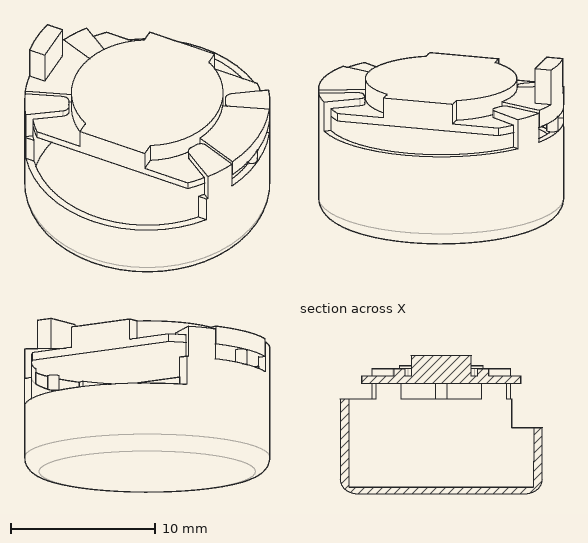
import cadquery as cq
import math

outer_radius = 8.5
wall = 0.5
inner_radius = outer_radius - wall
disc_radius = 5.25
clip_inner_radius = 5.42
pin_radius = 0.4

floor_top = wall
low_rim = 4.6
rim = 6.6
plate_bottom = 7.65
plate_top = 8.2
clip_top = 8.7
pad_top = 8.9
disc_top = 9.62
post_top = 11.4

bottom_fillet = 1.0
window_face_y = -4.9

plate_half_depth = 5.5
disc_bar_width = 5.0
pad_half_angle = 20.0
pad_root_radius = 3.4
clip_start_angle = 20.3
clip_end_angle = 34.4
clip_fillet = 0.5
pin_centre_radius = 8.04
post_inner_x = -7.2
post_width = 2.82


def cylinder(radius, bottom, top):
    return cq.Workplane("XY").workplane(offset=bottom).circle(radius).extrude(top - bottom)


def box(x_range, y_range, z_range):
    sizes = [high - low for low, high in (x_range, y_range, z_range)]
    corner = (x_range[0], y_range[0], z_range[0])
    return cq.Workplane("XY").box(*sizes, centered=False).translate(corner)


def polar(radius, angle):
    radians = math.radians(angle)
    return radius * math.cos(radians), radius * math.sin(radians)


def ring_sector(r_in, r_out, start, end, bottom, top):
    """Ring segment between two radii and two angles (degrees from +X)."""
    reach = 2 * r_out
    wedge = (
        cq.Workplane("XY").workplane(offset=bottom)
        .polyline([(0, 0), polar(reach, start), polar(reach, end)])
        .close()
        .extrude(top - bottom)
    )
    return cylinder(r_out, bottom, top).cut(cylinder(r_in, bottom, top)).intersect(wedge)


def on_both_sides(shape):
    """Add the mirror image on the -X side."""
    return shape.union(shape.mirror("YZ"))


def make_cup():
    body = cylinder(outer_radius, 0, rim).faces("<Z").edges().fillet(bottom_fillet)
    cavity = cylinder(inner_radius, floor_top, rim)
    window = box((-outer_radius, outer_radius), (-outer_radius, window_face_y), (low_rim, rim))
    return body.cut(cavity).cut(window)


def make_plate():
    flats = box(
        (-outer_radius, outer_radius),
        (-plate_half_depth, plate_half_depth),
        (plate_bottom, plate_top),
    )
    return cylinder(inner_radius, plate_bottom, plate_top).intersect(flats)


def make_disc():
    bar = box(
        (-disc_bar_width / 2, disc_bar_width / 2),
        (-plate_half_depth, plate_half_depth),
        (plate_top, disc_top),
    )
    return cylinder(disc_radius, plate_top, disc_top).union(bar)


def make_pads():
    """Wedges at both ends of X, rooted inside the disc and ending at the outer radius."""
    pad = ring_sector(
        pad_root_radius, outer_radius, -pad_half_angle, pad_half_angle, plate_bottom, pad_top
    )
    return on_both_sides(pad)


def make_clips():
    """Four hooks: a leg on the rim and a rounded tab resting on the plate."""
    tab = ring_sector(
        clip_inner_radius, outer_radius, clip_start_angle, clip_end_angle, plate_top, clip_top
    )
    tip_corners = cq.selectors.BoxSelector(
        (0, 0, plate_top), (*polar(inner_radius, clip_end_angle), clip_top)
    )
    tab = tab.edges("|Z").edges(tip_corners).fillet(clip_fillet)
    leg = ring_sector(
        inner_radius, outer_radius, clip_start_angle, clip_end_angle, rim, plate_top
    )
    clip = tab.union(leg)
    return on_both_sides(clip.union(clip.mirror("XZ")))


def make_pins():
    pin = cylinder(pin_radius, rim, plate_bottom).translate((pin_centre_radius, 0, 0))
    return on_both_sides(pin)


def make_post():
    block = box(
        (-outer_radius, post_inner_x), (-post_width / 2, post_width / 2), (pad_top, post_top)
    )
    return block.intersect(cylinder(outer_radius, pad_top, post_top))


carrier = make_pads().union(make_post()).union(make_plate()).union(make_disc())
result = carrier.union(make_clips()).union(make_pins()).union(make_cup())